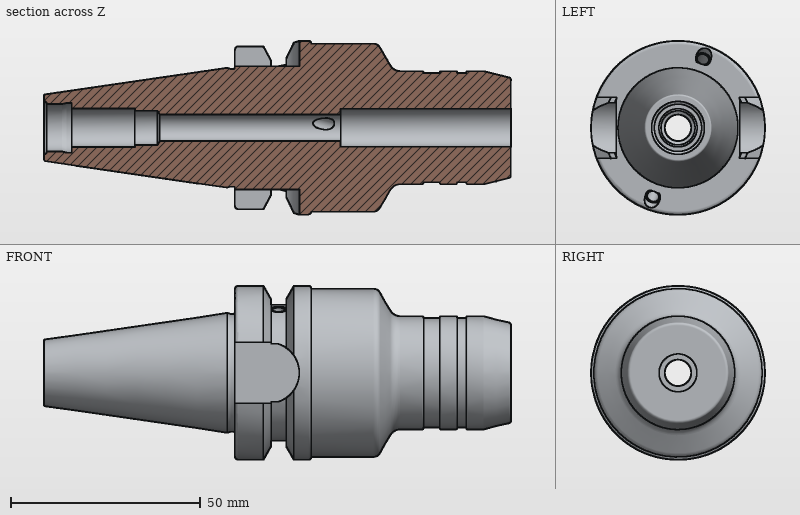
import cadquery as cq
import math


gauge_diameter = 31.75
taper_ratio = 7 / 24
taper_length = 48.4
taper_end_round = 0.5
neck_diameter = 31.2
neck_start = 0.9
neck_fillet = 0.3

flange_diameter = 46.0
flange_start = 2.0
flange_end = 22.25
flange_front_fillet = 1.0
groove_centre = 13.6
groove_floor_width = 4.0
groove_floor_diameter = 36.0
groove_wall_diameter = 39.0
groove_flank_angle = math.radians(60)

keyway_width = 16.1
keyway_floor = 16.3
keyway_end = 19.05

body_diameter = 44.5
nose_start = 45.7
nose_end = 75.0
nose_diameter = 30.0
shoulder_angle = math.radians(60)
shoulder_round = 2.0
nose_root_fillet = 3.0
nose_taper_start = 67.75
nose_taper_angle = math.radians(14)
nose_end_fillet = 0.8
ring_groove_diameter = 29.0
ring_grooves = [(51.4, 56.6), (60.3, 63.6)]

pilot_diameter = 12.5
pilot_mouth_fillet = 0.75
pilot_depth = 4.8
undercut_diameter = 13.1
undercut_start = 6.0
undercut_end = 7.3
stud_core_diameter = 10.11
stud_depth = 24.0
relief_diameter = 9.0
relief_depth = 30.0
through_diameter = 6.92
drill_point_half_angle = math.radians(60)
tool_bore_diameter = 10.0
tool_bore_depth = 45.0

coolant_angle = 20.0
coolant_pair = (0.0, 180.0)
coolant_drill_diameter = 3.24
coolant_mouth_diameter = 4.0
coolant_mouth_radius = 19.9
coolant_tilt = math.radians(35)
inclined_mouth_depth = 1.1
radial_mouth_depth = 0.3


def make_outer_body():
    """Revolve the outside contour of the holder about the X axis."""
    flange_radius = flange_diameter / 2
    groove_radius = groove_floor_diameter / 2
    wall_radius = groove_wall_diameter / 2
    groove_left = groove_centre - groove_floor_width / 2
    groove_right = groove_centre + groove_floor_width / 2
    flank_run = (flange_radius - wall_radius) / math.tan(groove_flank_angle)
    taper_end_radius = (gauge_diameter - taper_length * taper_ratio) / 2
    round_start_radius = taper_end_radius + taper_end_round * taper_ratio / 2

    body_radius = body_diameter / 2
    rear_round = flange_radius - body_radius
    nose_radius = nose_diameter / 2
    half_shoulder = shoulder_angle / 2
    root_corner = nose_start - nose_root_fillet * math.tan(half_shoulder)
    shoulder_corner = root_corner - (body_radius - nose_radius) / math.tan(shoulder_angle)
    shoulder_start = shoulder_corner - shoulder_round * math.tan(half_shoulder)
    shoulder_arc_centre = (shoulder_start, body_radius - shoulder_round)
    root_arc_centre = (nose_start, nose_radius + nose_root_fillet)

    def on_shoulder_arc(angle):
        return (shoulder_arc_centre[0] + shoulder_round * math.sin(angle),
                shoulder_arc_centre[1] + shoulder_round * math.cos(angle))

    def on_root_arc(angle):
        return (root_arc_centre[0] - nose_root_fillet * math.sin(angle),
                root_arc_centre[1] - nose_root_fillet * math.cos(angle))

    sharp_end_radius = nose_radius - (nose_end - nose_taper_start) * math.tan(nose_taper_angle)
    end_tangent = nose_end_fillet * math.tan((math.pi / 2 - nose_taper_angle) / 2)
    end_round_start = (nose_end - end_tangent * math.cos(nose_taper_angle),
                       sharp_end_radius + end_tangent * math.sin(nose_taper_angle))
    end_round_finish = (nose_end, sharp_end_radius - end_tangent)

    neck_radius = neck_diameter / 2
    contour = (
        cq.Workplane("XY")
        .moveTo(-taper_length, 0)
        .lineTo(-taper_length, taper_end_radius - taper_end_round)
        .radiusArc((-taper_length + taper_end_round, round_start_radius), taper_end_round)
        .lineTo(0, gauge_diameter / 2)
        .lineTo(neck_start, neck_radius)
        .lineTo(flange_start - neck_fillet, neck_radius)
        .radiusArc((flange_start, neck_radius + neck_fillet), -neck_fillet)
        .lineTo(flange_start, flange_radius - flange_front_fillet)
        .radiusArc((flange_start + flange_front_fillet, flange_radius), flange_front_fillet)
        .lineTo(groove_left - flank_run, flange_radius)
        .lineTo(groove_left, wall_radius)
        .lineTo(groove_left, groove_radius)
        .lineTo(groove_right, groove_radius)
        .lineTo(groove_right, wall_radius)
        .lineTo(groove_right + flank_run, flange_radius)
        .lineTo(flange_end - rear_round, flange_radius)
        .radiusArc((flange_end, body_radius), rear_round)
        .lineTo(shoulder_start, body_radius)
        .threePointArc(on_shoulder_arc(half_shoulder), on_shoulder_arc(shoulder_angle))
        .lineTo(*on_root_arc(shoulder_angle))
        .threePointArc(on_root_arc(half_shoulder), on_root_arc(0))
        .lineTo(nose_taper_start, nose_radius)
        .lineTo(*end_round_start)
        .radiusArc(end_round_finish, nose_end_fillet)
        .lineTo(nose_end, 0)
        .close()
    )
    return contour.revolve(360, (0, 0, 0), (1, 0, 0))


def make_ring_groove(start, end):
    """Shallow ring groove in the nose, its land edges rounded over the full groove depth."""
    land_radius = nose_diameter / 2
    floor_radius = ring_groove_diameter / 2
    edge_round = land_radius - floor_radius
    section = (
        cq.Workplane("XY")
        .moveTo(start, land_radius)
        .radiusArc((start + edge_round, floor_radius), edge_round)
        .lineTo(end - edge_round, floor_radius)
        .radiusArc((end, land_radius), edge_round)
        .lineTo(end, land_radius + edge_round)
        .lineTo(start, land_radius + edge_round)
        .close()
    )
    return section.revolve(360, (0, 0, 0), (1, 0, 0))


def make_keyway(side):
    """Round-ended drive slot, open towards the taper, on the +Y or -Y side."""
    end_radius = keyway_width / 2
    arc_centre = keyway_end - end_radius
    slot = (
        cq.Workplane("XZ")
        .moveTo(0, -end_radius)
        .lineTo(arc_centre, -end_radius)
        .threePointArc((keyway_end, 0), (arc_centre, end_radius))
        .lineTo(0, end_radius)
        .close()
        .extrude(-flange_diameter)
        .translate((0, keyway_floor, 0))
    )
    if side < 0:
        slot = slot.mirror("XZ")
    return slot


def make_bore():
    """Stepped bore along the full length of the holder."""
    shank_face = -taper_length
    pilot_radius = pilot_diameter / 2
    stud_end = shank_face + stud_depth
    relief_end = shank_face + relief_depth
    drill_point_length = (relief_diameter - through_diameter) / 2 / math.tan(drill_point_half_angle)
    tool_bore_start = nose_end - tool_bore_depth
    return (
        cq.Workplane("XY")
        .moveTo(shank_face, 0)
        .lineTo(shank_face, pilot_radius + pilot_mouth_fillet)
        .radiusArc((shank_face + pilot_mouth_fillet, pilot_radius), pilot_mouth_fillet)
        .lineTo(shank_face + pilot_depth, pilot_radius)
        .lineTo(shank_face + undercut_start, undercut_diameter / 2)
        .lineTo(shank_face + undercut_end, undercut_diameter / 2)
        .lineTo(shank_face + undercut_end, stud_core_diameter / 2)
        .lineTo(stud_end, stud_core_diameter / 2)
        .lineTo(stud_end, relief_diameter / 2)
        .lineTo(relief_end, relief_diameter / 2)
        .lineTo(relief_end + drill_point_length, through_diameter / 2)
        .lineTo(tool_bore_start, through_diameter / 2)
        .lineTo(tool_bore_start, tool_bore_diameter / 2)
        .lineTo(nose_end, tool_bore_diameter / 2)
        .lineTo(nose_end, 0)
        .close()
        .revolve(360, (0, 0, 0), (1, 0, 0))
    )


def make_drill(diameter, mouth, direction, start, end):
    """Cylinder along a direction, between two distances from the mouth point."""
    axis = cq.Vector(*direction)
    base = cq.Vector(*mouth) + axis * start
    return cq.Workplane(obj=cq.Solid.makeCylinder(diameter / 2, end - start, base, axis))


def make_coolant_passage(pair_angle):
    """Inclined drilling from the flange face to the bore, crossed by a radial one in the groove."""
    inclined = (math.cos(coolant_tilt), 0, -math.sin(coolant_tilt))
    face_mouth = (flange_start, 0, coolant_mouth_radius)
    bore_distance = coolant_mouth_radius / math.sin(coolant_tilt)
    groove_mouth = (groove_centre, 0, groove_floor_diameter / 2)
    inward = (0, 0, -1)
    crossing_radius = coolant_mouth_radius - (groove_centre - flange_start) * math.tan(coolant_tilt)
    crossing_distance = groove_mouth[2] - crossing_radius

    outside = -coolant_mouth_diameter
    passage = (
        make_drill(coolant_drill_diameter, face_mouth, inclined, 0, bore_distance)
        .union(make_drill(coolant_mouth_diameter, face_mouth, inclined, outside, inclined_mouth_depth))
        .union(make_drill(coolant_drill_diameter, groove_mouth, inward, 0, crossing_distance))
        .union(make_drill(coolant_mouth_diameter, groove_mouth, inward, outside, radial_mouth_depth))
    )
    return passage.rotate((0, 0, 0), (1, 0, 0), coolant_angle + pair_angle)


result = make_outer_body().cut(make_bore())
for groove_start, groove_end in ring_grooves:
    result = result.cut(make_ring_groove(groove_start, groove_end))
for keyway_side in (1, -1):
    result = result.cut(make_keyway(keyway_side))
for passage_angle in coolant_pair:
    result = result.cut(make_coolant_passage(passage_angle))
result = cq.Workplane(obj=result.solids().val())